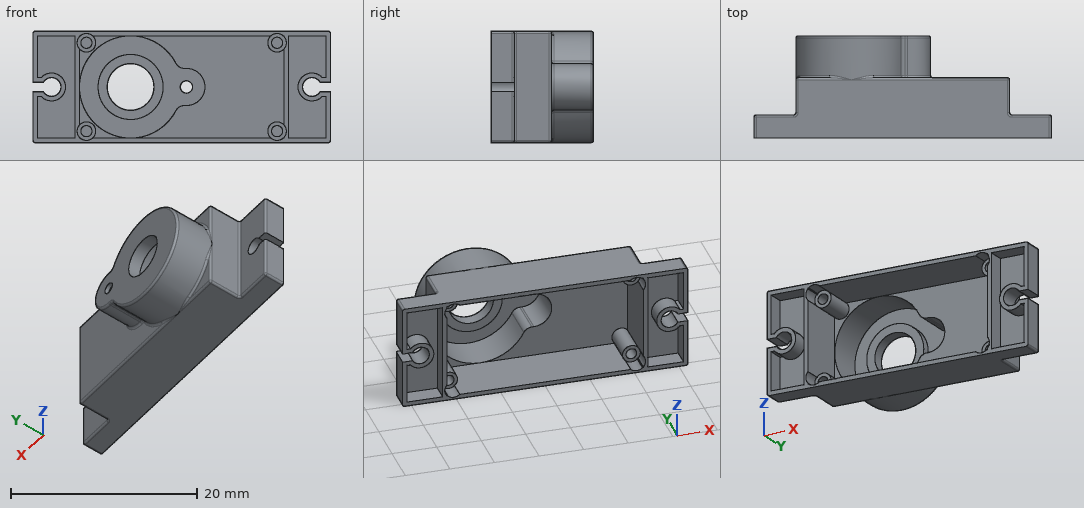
import cadquery as cq
import math

WALL = 0.5
ROUNDING = 0.25
HEIGHT = 12.0
FLANGE_LENGTH = 32.0
FLANGE_DEPTH = 2.5
BODY_LENGTH = 23.0
BODY_DEPTH = 6.5
BOSS_TOP = 11.0

LARGE_LOBE_X = -5.5
LARGE_LOBE_RADIUS = 6.0
SMALL_LOBE_X = 0.5
SMALL_LOBE_RADIUS = 2.5
NECK_RADIUS = 0.5

SHAFT_HOLE_RADIUS = 2.5
COLLAR_RADIUS = 3.5
COLLAR_HEIGHT = 1.0
PIN_HOLE_RADIUS = 0.65

POST_RADIUS = 1.0
POST_HOLE_RADIUS = 0.6
POST_X = 10.25
POST_Z = 4.75
POST_RECESS = 2.0

EAR_HOLE_X = 14.0
EAR_HOLE_RADIUS = 1.0
EAR_SLOT_WIDTH = 1.0

TOUCHING = 1e-4

CAVITY_LENGTH = BODY_LENGTH - 2 * WALL
CAVITY_HEIGHT = HEIGHT - 2 * WALL
CAVITY_FLOOR = BODY_DEPTH - WALL
EAR_POCKET_LENGTH = (FLANGE_LENGTH - BODY_LENGTH) / 2 - WALL
EAR_FLOOR = FLANGE_DEPTH - WALL
BOSS_FLOOR = BOSS_TOP - WALL


def plane_at(y):
    """XZ sketch plane at height y, extruding towards +Y; its local y runs along -Z."""
    return cq.Workplane(cq.Plane(origin=(0, y, 0), xDir=(1, 0, 0), normal=(0, 1, 0)))


def block(x, length, height, y_start, y_end):
    return plane_at(y_start).center(x, 0).rect(length, height).extrude(y_end - y_start)


def cylinder(x, z, radius, y_start, y_end):
    return plane_at(y_start).center(x, -z).circle(radius).extrude(y_end - y_start)


def lobed_prism(inset, y_start, y_end):
    """Prism of the two-lobe boss outline, offset inwards by inset."""
    large = LARGE_LOBE_RADIUS - inset
    small = SMALL_LOBE_RADIUS - inset
    neck = NECK_RADIUS + inset
    centre_distance = large + neck
    neck_z = small + neck
    neck_dx = math.sqrt(centre_distance**2 - neck_z**2)
    neck_x = LARGE_LOBE_X + neck_dx
    touch_x = LARGE_LOBE_X + neck_dx * large / centre_distance
    touch_z = neck_z * large / centre_distance
    bisector = (math.pi / 2 + math.atan2(neck_z, neck_dx)) / 2
    middle_x = neck_x - neck * math.cos(bisector)
    middle_z = neck_z - neck * math.sin(bisector)
    return (
        plane_at(y_start)
        .moveTo(touch_x, touch_z)
        .threePointArc((LARGE_LOBE_X - large, 0), (touch_x, -touch_z))
        .threePointArc((middle_x, -middle_z), (neck_x, -small))
        .lineTo(SMALL_LOBE_X, -small)
        .threePointArc((SMALL_LOBE_X + small, 0), (SMALL_LOBE_X, small))
        .lineTo(neck_x, small)
        .threePointArc((middle_x, middle_z), (touch_x, touch_z))
        .close()
        .extrude(y_end - y_start)
    )


def make_stepped_blank():
    """Solid stepped body with every outside edge rounded except the mouth."""
    flange = block(0, FLANGE_LENGTH, HEIGHT, 0, FLANGE_DEPTH)
    body = block(0, BODY_LENGTH, HEIGHT, 0, BODY_DEPTH)
    return flange.union(body).edges("not <Y").fillet(ROUNDING)


def make_boss():
    """Boss with a rounded rim, reaching down through the rounded body edge."""
    boss = lobed_prism(0, CAVITY_FLOOR, BOSS_TOP)
    return boss.faces(">Y").edges().fillet(ROUNDING)


def is_foot_edge(edge, boss):
    """True for an edge where the boss rises out of the top of the body."""
    middle = edge.positionAt(0.5)
    at_body_top = BODY_DEPTH - 2 * ROUNDING < middle.y < BODY_DEPTH + ROUNDING
    return at_body_top and cq.Vertex.makeVertex(*middle.toTuple()).distance(boss) < TOUCHING


def make_exterior():
    """Body and boss as one solid, with a concave fillet around the foot of the boss."""
    boss = make_boss()
    blank = make_stepped_blank().union(boss)
    return blank.edges().filter(lambda edge: is_foot_edge(edge, boss.val())).fillet(ROUNDING)


def make_body_cavity():
    return block(0, CAVITY_LENGTH, CAVITY_HEIGHT, 0, CAVITY_FLOOR)


def make_boss_cavity():
    """Lobed pocket behind the body cavity, leaving a collar around the shaft hole."""
    pocket = lobed_prism(WALL, CAVITY_FLOOR, BOSS_FLOOR)
    collar = cylinder(LARGE_LOBE_X, 0, COLLAR_RADIUS, BOSS_FLOOR - COLLAR_HEIGHT, BOSS_FLOOR)
    return pocket.cut(collar)


def add_post(part, x, z):
    """Hollow post on the body floor, with matching clearance cut into the walls at the mouth."""
    post = cylinder(x, z, POST_RADIUS, POST_RECESS, CAVITY_FLOOR)
    clearance = cylinder(x, z, POST_RADIUS, 0, POST_RECESS)
    bore = cylinder(x, z, POST_HOLE_RADIUS, POST_RECESS, CAVITY_FLOOR)
    return part.union(post).cut(clearance).cut(bore)


def keyhole(side, offset):
    """Ear hole and its slot to the ear tip, both grown sideways by offset."""
    hole_x = side * EAR_HOLE_X
    tip_x = side * FLANGE_LENGTH / 2
    hole = cylinder(hole_x, 0, EAR_HOLE_RADIUS + offset, 0, FLANGE_DEPTH)
    slot_width = EAR_SLOT_WIDTH + 2 * offset
    slot = block((hole_x + tip_x) / 2, abs(tip_x - hole_x), slot_width, 0, FLANGE_DEPTH)
    return hole.union(slot)


def cut_ear(part, side):
    """Hollow out one ear around its walled keyhole; side is -1 or +1 along X."""
    pocket_x = side * (BODY_LENGTH + EAR_POCKET_LENGTH) / 2
    pocket = block(pocket_x, EAR_POCKET_LENGTH, CAVITY_HEIGHT, 0, EAR_FLOOR)
    pocket = pocket.cut(keyhole(side, WALL))
    return part.cut(pocket).cut(keyhole(side, 0))


result = make_exterior().cut(make_body_cavity()).cut(make_boss_cavity())
result = result.cut(cylinder(LARGE_LOBE_X, 0, SHAFT_HOLE_RADIUS, CAVITY_FLOOR, BOSS_TOP))
result = result.cut(cylinder(SMALL_LOBE_X, 0, PIN_HOLE_RADIUS, CAVITY_FLOOR, BOSS_TOP))
for side in (-1, 1):
    result = cut_ear(result, side)
    for post_z in (-POST_Z, POST_Z):
        result = add_post(result, side * POST_X, post_z)